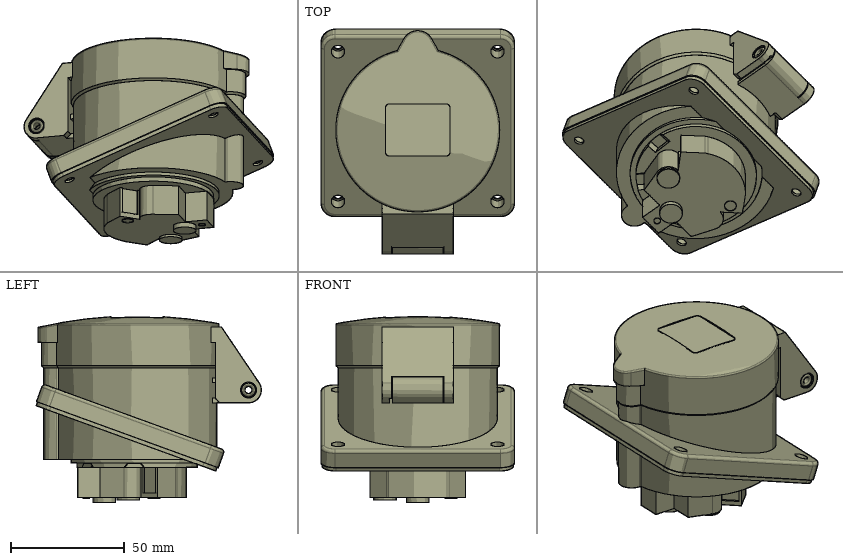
import cadquery as cq
import math


housing_radius = 35.0
flange_overhang = 1.0
flange_radius = housing_radius + flange_overhang
flange_chamfer = 0.95
flange_bottom = 40.3
flange_top = 51.5
latch_y = 35.3
latch_rib_radius = 5.75

dome_radius = 191.0
dome_apex = 63.11
lid_edge_fillet = 0.7
tab_y = 36.6
tab_radius = 7.0
tab_root_x = 9.04
label_width = 28.4
label_depth = 22.9
label_corner = 1.8
label_floor = 62.1

plate_size = 85.0
plate_thickness = 10.0
plate_corner = 6.2
plate_edge_fillet = 1.5
plate_skirt_height = 1.75
plate_skirt_inset = 0.5
plate_tilt = 20.0
plate_y = 1.45
plate_z = 18.7
screw_spacing = 70.0
screw_head_diameter = 5.8
screw_head_depth = 8.9
screw_hole_diameter = 4.3

hinge_width = 31.2
hinge_back = -34.5
hinge_top = 58.3
hinge_crest_y = -37.0
pin_y = -48.9
pin_z = 30.55
hinge_eye_radius = 5.65
hinge_bottom = pin_z - hinge_eye_radius
hinge_corner_chamfer = 1.8
knuckle_half_width = 11.1
knuckle_side_gap = 0.4
knuckle_roof = 36.55
leg_gap_width = 1.35
leg_gap_height = 2.0
lug_back = -33.2
lug_thickness = 2.1
lug_heights = (hinge_bottom, 33.8)
rivet_hole_diameter = 3.0
rivet_ring_diameter = 6.0
rivet_recess_diameter = 7.0
rivet_recess_depth = 0.8
rivet_rim_round = 0.73

upper_step_diameter = 58.0
upper_step_bottom = -1.4
lower_step_diameter = 53.0
lower_step_bottom = -3.4
notch_angles = (3.0, 56.0)
notch_width = 8.7
notch_roof_width = 5.5
notch_height = 1.8
notch_depth = 5.0

block_bottom = -16.7
block_half_width = 21.06
block_corner_y = -8.95
block_front_radius = 21.65
front_arc_x = 12.8
front_step_x = 13.8
front_step_y = -16.8
side_terminal_x = 14.36
side_terminal_y = 3.85
side_wall_radius = 5.65
side_wall_slope = 19.0
shoulder_y = 16.3
neck_half_width = 5.5
neck_y = 26.1
window_width = 7.6
window_depth = 1.0
window_bottom = -14.6

terminals = (
    (0.0, 14.4, 10.0, -18.84),
    (-side_terminal_x, side_terminal_y, 10.0, -17.75),
    (14.6, -7.4, 5.2, -17.0),
    (0.0, 22.3, 3.0, -17.0),
)


def disc(diameter, bottom, top):
    return cq.Workplane("XY").workplane(offset=bottom).circle(diameter / 2).extrude(top - bottom)


def ribbed_round(radius, rib_radius, bottom, top):
    """Round body with a straight-sided, round-ended rib on its +Y side."""
    height = top - bottom
    plane = cq.Workplane("XY").workplane(offset=bottom)
    core = plane.circle(radius).extrude(height)
    rib_end = plane.center(0, latch_y).circle(rib_radius).extrude(height)
    rib_sides = plane.center(0, latch_y / 2).rect(2 * rib_radius, latch_y).extrude(height)
    return core.union(rib_end).union(rib_sides)


def make_housing():
    body = ribbed_round(housing_radius, latch_rib_radius, 0, flange_top)
    flange = ribbed_round(flange_radius, latch_rib_radius + flange_overhang, flange_bottom, flange_top)
    flange = flange.faces("<Z").edges().chamfer(flange_chamfer)
    return body.union(flange)


def make_lid():
    tangent_angle = math.acos(tab_radius / math.hypot(tab_root_x, rim_drop()))
    root_direction = math.atan2(-rim_drop(), tab_root_x)
    angle = root_direction + tangent_angle
    tangent_x = tab_radius * math.cos(angle)
    tangent_y = tab_y + tab_radius * math.sin(angle)
    root_y = tab_y - rim_drop()
    outline = (
        cq.Workplane("XY").workplane(offset=flange_top)
        .moveTo(tab_root_x, root_y)
        .lineTo(tangent_x, tangent_y)
        .threePointArc((0, tab_y + tab_radius), (-tangent_x, tangent_y))
        .lineTo(-tab_root_x, root_y)
        .threePointArc((0, -flange_radius), (tab_root_x, root_y))
        .close()
    )
    lid = outline.extrude(dome_apex - flange_top)
    dome = cq.Workplane("XY").sphere(dome_radius).translate((0, 0, dome_apex - dome_radius))
    lid = lid.intersect(dome)
    lid = lid.faces(">Z").edges().fillet(lid_edge_fillet)
    label = (
        cq.Workplane("XY").workplane(offset=label_floor)
        .rect(label_width, label_depth).extrude(dome_apex - label_floor)
        .edges("|Z").fillet(label_corner)
    )
    return lid.cut(label)


def rim_drop():
    """Distance in Y from the tab's tip centre down to where its flanks meet the rim."""
    return tab_y - math.sqrt(flange_radius ** 2 - tab_root_x ** 2)


def make_plate():
    straight_height = plate_thickness - plate_skirt_height
    slab = (
        cq.Workplane("XY").workplane(offset=-straight_height)
        .rect(plate_size, plate_size).extrude(straight_height)
        .edges("|Z").fillet(plate_corner)
        .faces(">Z").edges().fillet(plate_edge_fillet)
    )
    skirt_size = plate_size - 2 * plate_skirt_inset
    skirt = (
        cq.Workplane("XY").workplane(offset=-plate_thickness)
        .rect(skirt_size, skirt_size).extrude(plate_skirt_height)
        .edges("|Z").fillet(plate_corner)
    )
    slab = slab.union(skirt)
    slab = (
        slab.faces(">Z").workplane(origin=(0, 0, 0))
        .rect(screw_spacing, screw_spacing, forConstruction=True).vertices()
        .cboreHole(screw_hole_diameter, screw_head_diameter, screw_head_depth)
    )
    return slab.rotate((0, 0, 0), (1, 0, 0), plate_tilt).translate((0, plate_y, plate_z))


def box_between(x_range, y_range, z_range):
    size = [high - low for low, high in (x_range, y_range, z_range)]
    return cq.Workplane("XY").box(*size, centered=False).translate((x_range[0], y_range[0], z_range[0]))


def x_cylinder(diameter, start, end):
    return (
        cq.Workplane("YZ").workplane(offset=start)
        .center(pin_y, pin_z).circle(diameter / 2).extrude(end - start)
    )


def make_hinge():
    half_width = hinge_width / 2
    crest_dy = hinge_crest_y - pin_y
    crest_dz = hinge_top - pin_z
    crest_angle = math.atan2(crest_dz, crest_dy)
    tangent_angle = crest_angle + math.acos(hinge_eye_radius / math.hypot(crest_dy, crest_dz))
    middle_angle = (tangent_angle + 1.5 * math.pi) / 2

    def on_eye(angle):
        return (pin_y + hinge_eye_radius * math.cos(angle), pin_z + hinge_eye_radius * math.sin(angle))

    lid_side_y = -math.sqrt(flange_radius ** 2 - half_width ** 2)
    hinge = (
        cq.Workplane("YZ").workplane(offset=-half_width)
        .moveTo(lid_side_y, hinge_top)
        .lineTo(hinge_crest_y, hinge_top)
        .lineTo(*on_eye(tangent_angle))
        .threePointArc(on_eye(middle_angle), (pin_y, hinge_bottom))
        .lineTo(hinge_back - hinge_corner_chamfer, hinge_bottom)
        .lineTo(hinge_back, hinge_bottom + hinge_corner_chamfer)
        .lineTo(hinge_back, flange_top)
        .lineTo(lid_side_y, flange_top)
        .close().extrude(hinge_width)
    )
    slot_half_width = knuckle_half_width + knuckle_side_gap
    slot_x = (-slot_half_width, slot_half_width)
    knuckle_x = (-knuckle_half_width, knuckle_half_width)
    eye_diameter = 2 * hinge_eye_radius
    outer_y = pin_y - eye_diameter
    hinge = hinge.cut(box_between(slot_x, (outer_y, pin_y), (hinge_bottom, knuckle_roof)))
    hinge = hinge.union(x_cylinder(eye_diameter, *knuckle_x))
    lug_front = hinge_back - hinge_corner_chamfer
    for height in lug_heights:
        lug_z = (height, height + lug_thickness)
        hinge = hinge.union(box_between(knuckle_x, (lug_front, lug_back), lug_z))
    gap_x = (-knuckle_half_width - leg_gap_width, -knuckle_half_width)
    gap_z = (hinge_bottom, hinge_bottom + leg_gap_height)
    hinge = hinge.cut(box_between(gap_x, (outer_y, hinge_back), gap_z))
    return cut_rivets(hinge, half_width)


def cut_rivets(hinge, half_width):
    """Hollow rivet along the pin axis, its rounded rims sunk in both hinge legs."""
    recess_end = rivet_recess_depth - half_width
    recess = x_cylinder(rivet_recess_diameter, -half_width, recess_end)
    hole = x_cylinder(rivet_hole_diameter, -half_width, half_width)
    ring = x_cylinder(rivet_ring_diameter, -half_width, recess_end).cut(hole)
    ring = ring.faces("<X").edges().fillet(rivet_rim_round)
    left_recess = recess.cut(ring)
    hinge = hinge.cut(left_recess).cut(left_recess.mirror("YZ"))
    return hinge.cut(hole)


def make_steps():
    lower = disc(lower_step_diameter, lower_step_bottom, 0)
    outer = lower_step_diameter / 2
    notch = (
        cq.Workplane("YZ").workplane(offset=-outer)
        .moveTo(-notch_width / 2, lower_step_bottom)
        .lineTo(-notch_roof_width / 2, lower_step_bottom + notch_height)
        .lineTo(notch_roof_width / 2, lower_step_bottom + notch_height)
        .lineTo(notch_width / 2, lower_step_bottom)
        .close().extrude(notch_depth)
    )
    for angle in notch_angles:
        lower = lower.cut(notch.rotate((0, 0, 0), (0, 0, 1), -angle))
    return lower.union(disc(upper_step_diameter, upper_step_bottom, 0))


def make_terminal_block():
    slope = math.radians(side_wall_slope)
    wall_bottom_y = side_terminal_y - side_wall_radius
    tangent_x = side_terminal_x + side_wall_radius * math.cos(slope)
    tangent_y = side_terminal_y + side_wall_radius * math.sin(slope)
    shoulder_x = tangent_x - (shoulder_y - tangent_y) * math.tan(slope)
    middle_angle = (slope - math.pi / 2) / 2
    arc_x = side_terminal_x + side_wall_radius * math.cos(middle_angle)
    arc_y = side_terminal_y + side_wall_radius * math.sin(middle_angle)
    front_arc_y = -math.sqrt(block_front_radius ** 2 - front_arc_x ** 2)
    outline = (
        cq.Workplane("XY").workplane(offset=block_bottom)
        .moveTo(-front_arc_x, front_arc_y)
        .threePointArc((0, -block_front_radius), (front_arc_x, front_arc_y))
        .lineTo(front_step_x, front_step_y)
        .lineTo(block_half_width, block_corner_y)
        .lineTo(side_terminal_x, wall_bottom_y)
        .threePointArc((arc_x, arc_y), (tangent_x, tangent_y))
        .lineTo(shoulder_x, shoulder_y)
        .lineTo(neck_half_width, shoulder_y)
        .lineTo(neck_half_width, neck_y)
        .lineTo(-neck_half_width, neck_y)
        .lineTo(-neck_half_width, shoulder_y)
        .lineTo(-shoulder_x, shoulder_y)
        .lineTo(-tangent_x, tangent_y)
        .threePointArc((-arc_x, arc_y), (-side_terminal_x, wall_bottom_y))
        .lineTo(-block_half_width, block_corner_y)
        .lineTo(-front_step_x, front_step_y)
        .close()
    )
    block = outline.extrude(lower_step_bottom - block_bottom)
    wall_angle = math.degrees(math.atan2(wall_bottom_y - block_corner_y, block_half_width - side_terminal_x))
    window_height = lower_step_bottom - window_bottom
    window = (
        cq.Workplane("XY").box(window_width, 2 * window_depth, window_height)
        .rotate((0, 0, 0), (0, 0, 1), wall_angle)
        .translate((
            -(block_half_width + side_terminal_x) / 2,
            (wall_bottom_y + block_corner_y) / 2,
            window_bottom + window_height / 2,
        ))
    )
    block = block.cut(window).cut(window.mirror("YZ"))
    for x, y, diameter, lower_end in terminals:
        block = block.union(disc(diameter, lower_end, lower_step_bottom).translate((x, y, 0)))
    return block


result = (
    make_housing()
    .union(make_lid())
    .union(make_plate())
    .union(make_hinge())
    .union(make_steps())
    .union(make_terminal_block())
)